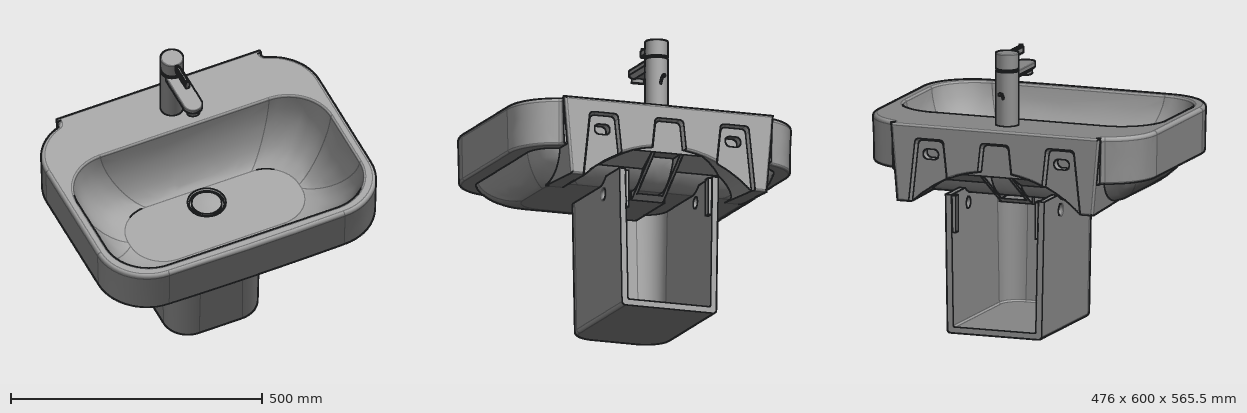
import cadquery as cq
import math


OVERLAP = 6.0

BASIN_LENGTH = 476.0
HALF_WIDTH = 300.0
FRONT_BOW = 2.5
FRONT_CORNER = 108.0
BACK_CORNER = 105.5
BACK_CORNER_X = 120.0
RIM_HEIGHT = 96.0
RIM_DRAFT = 2.1
RIM_TOP_ROUND = 8.0
RIM_BOTTOM_ROUND = 5.0

PLATE_THICKNESS = 9.0
PLATE_TOP_HALF = 223.0
PLATE_BOTTOM_HALF = 209.5
PLATE_DEPTH = 158.0
PLATE_ROUND = 4.0
NOTCH_ROUND = 7.0
ARCH_HALF = 179.5
ARCH_APEX_DEPTH = 85.0
WING_LENGTH = 138.0

RECESS_PITCH = 140.0
RECESS_TOP_DEPTH = 27.5
RECESS_TOP_HALF = 30.0
RECESS_BOTTOM_HALF = 45.0
RECESS_ROUND = 11.0
RECESS_TAPER = 28.0
BOLT_SLOT_DEPTH_Z = 60.0
BOLT_SLOT_LENGTH = 33.0
BOLT_SLOT_HEIGHT = 21.0
BOLT_SLOT_DEPTH = 30.0

BOWL_CURVE = 1.6
BOWL_STEPS = 6
BOWL_BACK = 129.0
BOWL_FRONT = 451.0
BOWL_HALF = 277.0
BOWL_CORNER = 92.5
BOWL_DEPTH = 116.5
BOWL_EDGE_ROUND = 4.0
BOWL_INSETS = (66.0, 102.0, 90.0)
BOWL_CORNER_LOSS = 21.0
SHELL_BACK = 47.0
SHELL_FRONT = 436.0
SHELL_HALF = 262.0
SHELL_CORNER = 60.0
SHELL_DEPTH = 152.0
SHELL_INSETS = (60.0, 114.0, 54.0)
SHELL_CORNER_LOSS = 6.0

DRAIN_X = 234.5
PLUG_DIAMETER = 60.0
PLUG_THICKNESS = 6.0
PLUG_DOME = 3.5
DRAIN_SEAT_DIAMETER = 69.5
DRAIN_LEAD_IN = 3.5
DRAIN_SEAT_DEPTH = 7.0
DUCT_BACK = 120.0
DUCT_FRONT = 276.0
DUCT_HALF = 37.0
DUCT_BOTTOM = 169.0
DUCT_FLOOR = 10.0
RIB_OUTER_HALF = 33.5
RIB_INNER_HALF = 27.0
SOFFIT_FRONT = 72.0
SOFFIT_FRONT_DEPTH = 126.0

SHROUD_TOP = -137.5
SHROUD_BOTTOM = -417.5
SHROUD_BACK_TOP = 2.0
SHROUD_FRONT_TOP = 308.0
SHROUD_FRONT_BOTTOM = 300.5
SHROUD_HALF_TOP = 105.5
SHROUD_HALF_BOTTOM = 101.0
SHROUD_CORNER_X = 247.0
SHROUD_FLOOR_ROUND = 3.5
SHROUD_WALL = 12.5
SHROUD_BOTTOM_ROUND = 7.0
SHROUD_HOLE_X = 93.0
SHROUD_HOLE_Z = -170.0
SHROUD_HOLE_DIAMETER = 23.5
SHROUD_HOLE_ROUND = 2.0
PAD_X = 5.0
PAD_LENGTH = 15.0
PAD_HEIGHT = 74.5
PAD_THICKNESS = 8.0
PAD_TOP = -140.0

TAP_X = 69.0
TAP_DIAMETER = 46.0
TAP_HEIGHT = 111.0
TAP_CHAMFER = 2.0
HANDLE_NECK_DIAMETER = 44.0
HANDLE_NECK_TOP = 114.0
HANDLE_TOP = 146.5
HANDLE_ROUND = 2.0
LEVER_END = 144.5
LEVER_BOTTOM = 130.0
LEVER_TOP = 146.0
LEVER_TIP_TOP = 148.0
LEVER_TIP_LENGTH = 5.0
LEVER_WIDTH = 9.5
LEVER_STUB_LENGTH = 5.0
LEVER_STUB_INSET = 2.0
LEVER_CHAMFER = 2.5
SPOUT_END = 187.0
SPOUT_HALF = 19.0
SPOUT_TOP = TAP_HEIGHT - TAP_CHAMFER
SPOUT_TOP_ROUND = 1.0
SPOUT_BOTTOM = 90.5
SPOUT_CHAMFER = 8.5
SPOUT_ROOT_DROP = 8.5
AERATOR_X = 171.0
AERATOR_Z = 84.5
AERATOR_DIAMETER = 25.0
AERATOR_LENGTH = 13.0
AERATOR_TILT = 10.0
ROD_DIAMETER = 4.0
ROD_Z = 68.0
ROD_TIP_X = 27.5
ROD_BEND_X = 33.5
ROD_BEND_RADIUS = 9.0
ROD_BEND_ANGLE = 50.0
ROD_KNOB_DIAMETER = 6.0
ROD_KNOB_LENGTH = 3.5
ROD_DROP_LENGTH = 15.0


def box(x0, x1, y0, y1, z0, z1):
    return cq.Workplane("XY").box(x1 - x0, y1 - y0, z1 - z0, centered=False).translate((x0, y0, z0))


def rounded_section(back, front, half, corner, z):
    """Wire of a rounded rectangle lying at height z."""
    sketch = cq.Sketch().rect(front - back, 2 * half).vertices().fillet(corner)
    return sketch.moved(cq.Location(cq.Vector((back + front) / 2, 0, z))).faces().vals()[0].outerWire()


def bowl_solid(back, front, half, corner, top, bottom, insets, corner_loss):
    """Dished solid whose plan shrinks with depth along a superellipse, by its own inset on each side."""
    back_inset, front_inset, side_inset = insets
    wires = []
    for step in range(BOWL_STEPS + 1):
        depth = math.sin(math.pi / 2 * step / BOWL_STEPS)
        shrink = 1 - (1 - depth**BOWL_CURVE) ** (1 / BOWL_CURVE)
        wires.append(
            rounded_section(
                back + back_inset * shrink,
                front - front_inset * shrink,
                half - side_inset * shrink,
                corner - corner_loss * shrink,
                top + (bottom - top) * depth,
            )
        )
    return cq.Workplane(cq.Solid.makeLoft(wires))


def rim_outline(inset, z):
    """Wire of the deck and rim outline, drawn in by an inset, with a slightly bowed front at height z."""
    half = HALF_WIDTH - inset
    back_round = BACK_CORNER - inset
    front_round = FRONT_CORNER - inset
    notch_round = NOTCH_ROUND + inset
    plate_half = PLATE_TOP_HALF - inset
    back_y = HALF_WIDTH - BACK_CORNER
    front_y = HALF_WIDTH - FRONT_CORNER
    front_x = BASIN_LENGTH - FRONT_BOW - FRONT_CORNER

    notch_y = PLATE_TOP_HALF + NOTCH_ROUND
    notch_angle = math.asin((notch_y - back_y) / (BACK_CORNER + NOTCH_ROUND))
    notch_x = BACK_CORNER_X - (BACK_CORNER + NOTCH_ROUND) * math.cos(notch_angle)
    mid_angle = (notch_angle + math.pi / 2) / 2
    meet_x = BACK_CORNER_X - back_round * math.cos(notch_angle)
    meet_y = back_y + back_round * math.sin(notch_angle)
    notch_mid_x = notch_x + notch_round * math.cos(mid_angle)
    notch_mid_y = notch_y - notch_round * math.sin(mid_angle)
    back_mid_x = BACK_CORNER_X - back_round * math.cos(mid_angle)
    back_mid_y = back_y + back_round * math.sin(mid_angle)
    front_mid = front_round * math.sqrt(0.5)
    return (
        cq.Workplane("XY", origin=(0, 0, z))
        .moveTo(PLATE_THICKNESS, -plate_half)
        .lineTo(notch_x, -plate_half)
        .threePointArc((notch_mid_x, -notch_mid_y), (meet_x, -meet_y))
        .threePointArc((back_mid_x, -back_mid_y), (BACK_CORNER_X, -half))
        .lineTo(front_x, -half)
        .threePointArc((front_x + front_mid, -front_y - front_mid), (front_x + front_round, -front_y))
        .threePointArc((BASIN_LENGTH - inset, 0), (front_x + front_round, front_y))
        .threePointArc((front_x + front_mid, front_y + front_mid), (front_x, half))
        .lineTo(BACK_CORNER_X, half)
        .threePointArc((back_mid_x, back_mid_y), (meet_x, meet_y))
        .threePointArc((notch_mid_x, notch_mid_y), (notch_x, plate_half))
        .lineTo(PLATE_THICKNESS, plate_half)
        .close()
        .val()
    )


def rim_body():
    """Drafted slab of the deck and rim, flared so that it has its full width just under the top round."""
    flare = RIM_DRAFT * RIM_TOP_ROUND / (RIM_HEIGHT - RIM_TOP_ROUND)
    rim = cq.Workplane(cq.Solid.makeLoft([rim_outline(-flare, 0), rim_outline(RIM_DRAFT, -RIM_HEIGHT)], True))
    rim = rim.faces(">Z").edges("not <X").fillet(RIM_TOP_ROUND)
    return rim.faces("<Z").edges("not <X").fillet(RIM_BOTTOM_ROUND)


def wall_plate():
    """Tapered back plate and wings above an arch, with the wing undersides rising to the front."""
    plate = (
        cq.Workplane("YZ")
        .moveTo(-PLATE_TOP_HALF, 0)
        .lineTo(-PLATE_BOTTOM_HALF, -PLATE_DEPTH)
        .lineTo(-ARCH_HALF, -PLATE_DEPTH)
        .threePointArc((0, -ARCH_APEX_DEPTH), (ARCH_HALF, -PLATE_DEPTH))
        .lineTo(PLATE_BOTTOM_HALF, -PLATE_DEPTH)
        .lineTo(PLATE_TOP_HALF, 0)
        .close()
        .extrude(WING_LENGTH)
    )
    side_outline = (
        cq.Workplane("XZ")
        .polyline([(0, 0), (0, -PLATE_DEPTH), (WING_LENGTH, -SHELL_DEPTH), (WING_LENGTH, -RIM_HEIGHT / 2),
                   (PLATE_THICKNESS, -RIM_HEIGHT / 2), (PLATE_THICKNESS, 0)])
        .close()
        .extrude(HALF_WIDTH, both=True)
    )
    return plate.intersect(side_outline).faces("<X").edges().fillet(PLATE_ROUND)


def back_recess(y):
    """Trapezoid recess in the wall plate, open at the bottom."""
    bottom = PLATE_DEPTH + PLATE_THICKNESS
    return (
        cq.Workplane("YZ")
        .polyline([(y - RECESS_TOP_HALF, -RECESS_TOP_DEPTH), (y + RECESS_TOP_HALF, -RECESS_TOP_DEPTH),
                   (y + RECESS_BOTTOM_HALF, -bottom), (y - RECESS_BOTTOM_HALF, -bottom)])
        .close()
        .extrude(PLATE_THICKNESS, taper=RECESS_TAPER)
        .edges("not #X")
        .edges(">Z")
        .fillet(RECESS_ROUND)
    )


def bolt_slots():
    return (
        cq.Workplane("YZ")
        .pushPoints([(-RECESS_PITCH, -BOLT_SLOT_DEPTH_Z), (RECESS_PITCH, -BOLT_SLOT_DEPTH_Z)])
        .slot2D(BOLT_SLOT_LENGTH, BOLT_SLOT_HEIGHT)
        .extrude(BOLT_SLOT_DEPTH)
    )


def overflow_duct():
    """Drain housing under the bowl, open to the wall, and the two ribs that lead up to the plate."""
    duct = box(DUCT_BACK, DUCT_FRONT, -DUCT_HALF, DUCT_HALF, -DUCT_BOTTOM, -SHELL_DEPTH + OVERLAP)
    rib_side = (
        cq.Workplane("XZ")
        .polyline([(PLATE_THICKNESS, -RIM_HEIGHT + OVERLAP), (PLATE_THICKNESS, -RIM_HEIGHT),
                   (DUCT_BACK, -DUCT_BOTTOM), (DUCT_BACK, -RIM_HEIGHT + OVERLAP)])
        .close()
        .extrude(RIB_OUTER_HALF, both=True)
    )
    cavity = box(0, DRAIN_X, -RIB_INNER_HALF, RIB_INNER_HALF, -DUCT_BOTTOM + DUCT_FLOOR, 0)
    return duct.union(rib_side).cut(cavity)


def soffit():
    """Sloping underside from the arch down to the bowl, split in the middle by the duct."""
    slope = (
        cq.Workplane("XZ")
        .polyline([(PLATE_THICKNESS, -RIM_HEIGHT + OVERLAP), (PLATE_THICKNESS, -RIM_HEIGHT),
                   (SOFFIT_FRONT, -SOFFIT_FRONT_DEPTH), (SOFFIT_FRONT, -RIM_HEIGHT + OVERLAP)])
        .close()
        .extrude(ARCH_HALF, both=True)
    )
    return slope.cut(box(0, SOFFIT_FRONT, -RIB_INNER_HALF, RIB_INNER_HALF, -SOFFIT_FRONT_DEPTH, 0))


def make_basin():
    shell = bowl_solid(SHELL_BACK, SHELL_FRONT, SHELL_HALF, SHELL_CORNER,
                       -RIM_HEIGHT + RIM_BOTTOM_ROUND, -SHELL_DEPTH, SHELL_INSETS, SHELL_CORNER_LOSS)
    bowl = bowl_solid(BOWL_BACK, BOWL_FRONT, BOWL_HALF, BOWL_CORNER, 0, -BOWL_DEPTH,
                      BOWL_INSETS, BOWL_CORNER_LOSS)
    basin = rim_body().union(wall_plate()).union(shell).union(soffit()).union(overflow_duct())
    for y in (-RECESS_PITCH, 0, RECESS_PITCH):
        basin = basin.cut(back_recess(y))
    basin = basin.cut(bolt_slots()).cut(bowl)
    margin = BOWL_EDGE_ROUND
    bowl_edge = cq.selectors.BoxSelector(
        (BOWL_BACK - margin, -BOWL_HALF - margin, -margin),
        (BOWL_FRONT + margin, BOWL_HALF + margin, margin),
        boundingbox=True)
    basin = basin.edges(bowl_edge).fillet(BOWL_EDGE_ROUND)
    seat_radius = DRAIN_SEAT_DIAMETER / 2
    seat = cq.Workplane("XY").center(DRAIN_X, 0).circle(seat_radius).extrude(-BOWL_DEPTH - DRAIN_SEAT_DEPTH)
    lead_in = cq.Solid.makeCone(seat_radius, seat_radius + DRAIN_LEAD_IN, DRAIN_LEAD_IN,
                                cq.Vector(DRAIN_X, 0, -BOWL_DEPTH - DRAIN_LEAD_IN))
    return basin.cut(seat).cut(cq.Workplane(lead_in))


def make_plug():
    """Domed drain plug resting on the floor of its seat."""
    radius = PLUG_DIAMETER / 2
    crown = PLUG_THICKNESS + PLUG_DOME
    sphere = (radius**2 + PLUG_DOME**2) / (2 * PLUG_DOME)
    mid = math.asin(radius / sphere) / 2
    return (
        cq.Workplane("XZ")
        .lineTo(radius, 0)
        .lineTo(radius, PLUG_THICKNESS)
        .threePointArc((math.sin(mid) * sphere, crown - sphere * (1 - math.cos(mid))), (0, crown))
        .close()
        .revolve(360, (0, 0), (0, 1))
        .translate((DRAIN_X, 0, -BOWL_DEPTH - DRAIN_SEAT_DEPTH))
    )


def shroud_section(back, front, half, z):
    """Wire of a U-shaped outline at height z: square at the back, rounded at the front."""
    corner = front - SHROUD_CORNER_X
    arc_mid = corner * (1 - math.sqrt(0.5))
    return (
        cq.Workplane("XY", origin=(0, 0, z))
        .moveTo(back, -half)
        .lineTo(front - corner, -half)
        .threePointArc((front - arc_mid, -half + arc_mid), (front, -half + corner))
        .lineTo(front, half - corner)
        .threePointArc((front - arc_mid, half - arc_mid), (front - corner, half))
        .lineTo(back, half)
        .close()
        .val()
    )


def make_shroud(basin):
    """Open-backed half pedestal whose top edge follows the underside of the basin."""
    wall = SHROUD_WALL
    outer = cq.Workplane(cq.Solid.makeLoft([
        shroud_section(0, SHROUD_FRONT_BOTTOM, SHROUD_HALF_BOTTOM, SHROUD_BOTTOM),
        shroud_section(SHROUD_BACK_TOP, SHROUD_FRONT_TOP, SHROUD_HALF_TOP, SHROUD_TOP),
    ], True))
    outer = outer.faces("<Z").edges("not <X").fillet(SHROUD_BOTTOM_ROUND)
    inner = cq.Workplane(cq.Solid.makeLoft([
        shroud_section(-wall, SHROUD_FRONT_BOTTOM - wall, SHROUD_HALF_BOTTOM - wall,
                       SHROUD_BOTTOM + wall),
        shroud_section(-wall, SHROUD_FRONT_TOP - wall, SHROUD_HALF_TOP - wall, SHROUD_TOP),
    ], True))
    inner = inner.faces("<Z").edges("not <X").fillet(SHROUD_FLOOR_ROUND)
    shroud = outer.cut(inner)
    for side in (-1, 1):
        pad_y = sorted((side * (SHROUD_HALF_TOP - wall / 2), side * (SHROUD_HALF_TOP - wall - PAD_THICKNESS)))
        pad = box(PAD_X, PAD_X + PAD_LENGTH, *pad_y, PAD_TOP - PAD_HEIGHT, PAD_TOP)
        shroud = shroud.union(pad)
    hole = (
        cq.Workplane("XZ")
        .center(SHROUD_HOLE_X, SHROUD_HOLE_Z)
        .circle(SHROUD_HOLE_DIAMETER / 2)
        .extrude(HALF_WIDTH, both=True)
    )
    shroud = shroud.cut(hole)
    reach = SHROUD_HOLE_DIAMETER
    for side in (-1, 1):
        mouth = cq.selectors.BoxSelector(
            (SHROUD_HOLE_X - reach, side * (SHROUD_HALF_TOP - wall / 2), SHROUD_HOLE_Z - reach),
            (SHROUD_HOLE_X + reach, side * (SHROUD_HALF_TOP + wall), SHROUD_HOLE_Z + reach),
            boundingbox=True)
        shroud = shroud.edges(mouth).fillet(SHROUD_HOLE_ROUND)
    return shroud.cut(basin)


def spout():
    """Flat round-ended arm with a bevelled underside and a sloped root on the tap body."""
    arm = (
        cq.Workplane("XY", origin=(0, 0, SPOUT_BOTTOM))
        .moveTo(TAP_X, -SPOUT_HALF)
        .lineTo(SPOUT_END - SPOUT_HALF, -SPOUT_HALF)
        .threePointArc((SPOUT_END, 0), (SPOUT_END - SPOUT_HALF, SPOUT_HALF))
        .lineTo(TAP_X, SPOUT_HALF)
        .close()
        .extrude(SPOUT_TOP - SPOUT_BOTTOM)
        .faces("<Z").edges("not <X").chamfer(SPOUT_CHAMFER)
        .faces(">Z").edges("not <X").fillet(SPOUT_TOP_ROUND)
    )
    root_x = TAP_X + TAP_DIAMETER / 2
    root = (
        cq.Workplane("XZ")
        .polyline([(TAP_X, SPOUT_BOTTOM), (root_x + SPOUT_ROOT_DROP / 2, SPOUT_BOTTOM),
                   (root_x - SPOUT_ROOT_DROP / 2, SPOUT_BOTTOM - SPOUT_ROOT_DROP),
                   (TAP_X, SPOUT_BOTTOM - SPOUT_ROOT_DROP)])
        .close()
        .extrude(SPOUT_HALF - SPOUT_CHAMFER, both=True)
    )
    return arm.union(root)


def make_aerator():
    """Short cylinder let into the underside of the spout, tilted to throw forward."""
    return (
        cq.Workplane("XY")
        .circle(AERATOR_DIAMETER / 2)
        .extrude(AERATOR_LENGTH)
        .rotate((0, 0, 0), (0, 1, 0), -AERATOR_TILT)
        .translate((AERATOR_X, 0, AERATOR_Z))
    )


def make_rod():
    """Pop-up waste rod: a straight tip with a knob, bending down into the back of the tap."""
    angle = math.radians(ROD_BEND_ANGLE)
    bend = ROD_BEND_RADIUS
    bend_end_x = ROD_BEND_X + bend * math.sin(angle)
    bend_end_z = ROD_Z - bend * (1 - math.cos(angle))
    path = (
        cq.Workplane("XZ")
        .moveTo(ROD_TIP_X, ROD_Z)
        .lineTo(ROD_BEND_X, ROD_Z)
        .threePointArc((ROD_BEND_X + bend * math.sin(angle / 2), ROD_Z - bend * (1 - math.cos(angle / 2))),
                       (bend_end_x, bend_end_z))
        .lineTo(bend_end_x + ROD_DROP_LENGTH * math.cos(angle), bend_end_z - ROD_DROP_LENGTH * math.sin(angle))
    )
    start = cq.Workplane("YZ", origin=(ROD_TIP_X, 0, ROD_Z))
    rod = start.circle(ROD_DIAMETER / 2).sweep(path)
    return rod.union(start.circle(ROD_KNOB_DIAMETER / 2).extrude(ROD_KNOB_LENGTH))


def make_tap(aerator, rod):
    body = cq.Workplane("XY").center(TAP_X, 0).circle(TAP_DIAMETER / 2).extrude(TAP_HEIGHT)
    body = body.faces(">Z").chamfer(TAP_CHAMFER)
    return body.union(spout()).cut(aerator).cut(rod)


def make_handle():
    """Cap of the tap, standing on a slightly thinner neck."""
    neck = (
        cq.Workplane("XY", origin=(TAP_X, 0, TAP_HEIGHT))
        .circle(HANDLE_NECK_DIAMETER / 2)
        .extrude(HANDLE_NECK_TOP - TAP_HEIGHT)
    )
    cap = (
        cq.Workplane("XY", origin=(TAP_X, 0, HANDLE_NECK_TOP))
        .circle(TAP_DIAMETER / 2)
        .extrude(HANDLE_TOP - HANDLE_NECK_TOP)
        .faces(">Z").edges().fillet(HANDLE_ROUND)
    )
    return neck.union(cap)


def make_lever(handle):
    """Blade with a bevelled top and a raised tip, on a thinner stub that meets the handle."""
    blade_start = TAP_X + TAP_DIAMETER / 2 + LEVER_STUB_LENGTH
    half = LEVER_WIDTH / 2
    stub_half = half - LEVER_STUB_INSET
    blade = box(blade_start, LEVER_END, -half, half, LEVER_BOTTOM, LEVER_TOP)
    blade = blade.edges("|X").chamfer(LEVER_CHAMFER)
    tip = box(LEVER_END - LEVER_TIP_LENGTH, LEVER_END, -stub_half, stub_half, LEVER_BOTTOM, LEVER_TIP_TOP)
    stub = box(TAP_X, blade_start, -stub_half, stub_half, LEVER_BOTTOM, HANDLE_TOP - HANDLE_ROUND)
    return blade.union(tip).union(stub).cut(handle)


basin = make_basin()
shroud = make_shroud(basin)
plug = make_plug()
aerator = make_aerator()
rod = make_rod()
tap = make_tap(aerator, rod)
handle = make_handle()
lever = make_lever(handle)

result = cq.Compound.makeCompound([
    basin.val(),
    shroud.val(),
    plug.val(),
    aerator.val(),
    rod.val(),
    tap.val(),
    handle.val(),
    lever.val(),
])